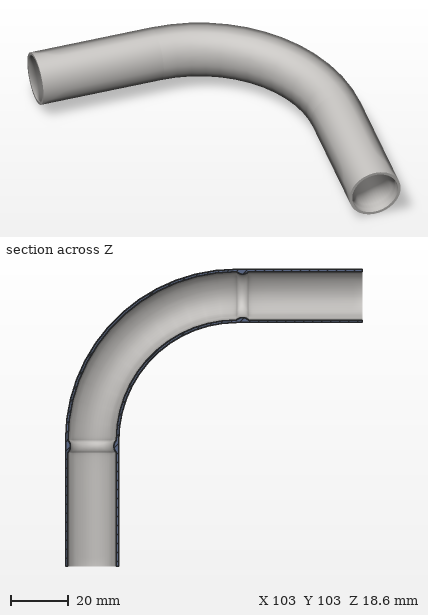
import cadquery as cq
import math

outer_diameter = 18.6
wall_thickness = 1.0
bend_radius = 50.0
bend_angle = 90.0
overall_reach = 103.0
bead_height = 0.85
bead_arc_radius = 3.0

outer_radius = outer_diameter / 2
bore_radius = outer_radius - wall_thickness
leg_length = overall_reach - bend_radius - outer_radius
bead_crest_radius = bore_radius - bead_height
bead_half_width = math.sqrt(bead_arc_radius**2 - (bead_arc_radius - bead_height) ** 2)


def make_leg():
    """Straight leg from the origin along -Y, with a rounded stop bead in the bore next to the bend."""
    return (
        cq.Workplane("XY")
        .moveTo(bore_radius, -leg_length)
        .lineTo(outer_radius, -leg_length)
        .lineTo(outer_radius, 0)
        .lineTo(bore_radius, 0)
        .threePointArc((bead_crest_radius, -bead_half_width), (bore_radius, -2 * bead_half_width))
        .close()
        .revolve(360, (0, 0, 0), (0, 1, 0))
    )


def make_bend():
    """Bent tube that leaves the origin along +Y and curves round to +X."""
    axis_start = (bend_radius, 0)
    axis_end = (bend_radius, -1)
    return (
        cq.Workplane("XZ")
        .circle(outer_radius)
        .circle(bore_radius)
        .revolve(bend_angle, axis_start, axis_end)
    )


y_leg = make_leg()
x_leg = (
    make_leg()
    .rotate((0, 0, 0), (0, 0, 1), bend_angle)
    .translate((bend_radius, bend_radius, 0))
)

result = make_bend().union(y_leg).union(x_leg)